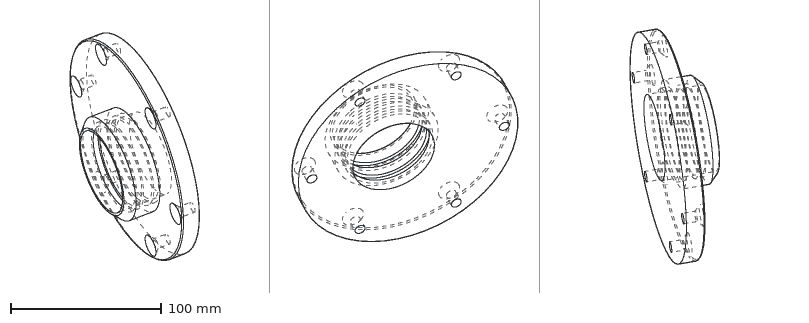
import cadquery as cq

plate_diameter = 157
plate_thickness = 13.0
plate_chamfer = 1.0

overall_depth = 37.0
boss_offset = 10.4
boss_diameter = 74.0
boss_chamfer = 6.0

bore_diameter = 58.4
groove_diameter = 63.6
groove_width = 5.0
groove_starts = (9.5, 22.3)

screw_count = 6
screw_circle_diameter = 137.5
screw_diameter = 7.0
countersink_diameter = 15.0
countersink_angle = 90


def disc(diameter, front_depth, length, x=0):
    """Cylinder along Y whose rear end lies front_depth in front of the plate back."""
    return (
        cq.Workplane("XZ", origin=(0, -front_depth, 0))
        .center(x, 0)
        .circle(diameter / 2)
        .extrude(length)
    )


plate = disc(plate_diameter, 0, plate_thickness).faces("<Y").chamfer(plate_chamfer)
boss = disc(boss_diameter, 0, overall_depth, boss_offset).faces("<Y").chamfer(boss_chamfer)

plate = (
    plate.faces("<Y")
    .workplane(origin=(0, -plate_thickness, 0))
    .polarArray(screw_circle_diameter / 2, 0, 360, screw_count)
    .cskHole(screw_diameter, countersink_diameter, countersink_angle)
)

result = plate.union(boss).cut(disc(bore_diameter, 0, overall_depth, boss_offset))
for groove_start in groove_starts:
    groove_rear = overall_depth - groove_start - groove_width
    result = result.cut(disc(groove_diameter, groove_rear, groove_width, boss_offset))